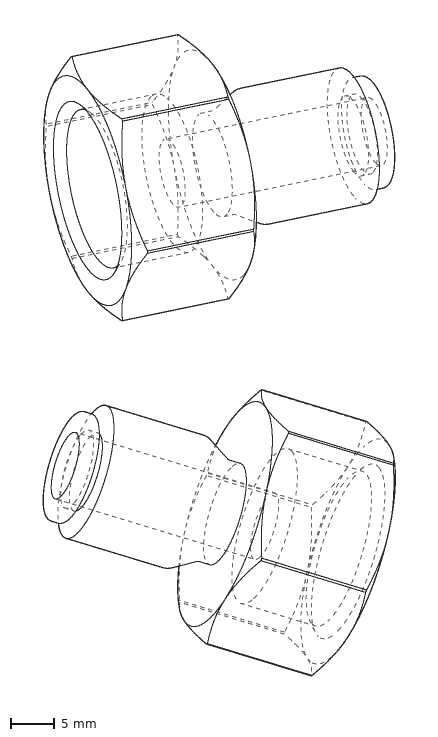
import cadquery as cq
import math

NUT_ACROSS_FLATS = 27.0
NUT_CORNER_DIAMETER = 31.0
HEX_SIDES = 6
NUT_LENGTH = 15.5
NUT_CHAMFER_ANGLE = 30.0

SOCKET_DIAMETER = 18.63
SOCKET_MOUTH_DIAMETER = 20.96
SOCKET_DEPTH = 10.5
TUBE_HOLE_DIAMETER = 8.0

NECK_DIAMETER = 12.2
BODY_DIAMETER = 16.0
BODY_CONE_ANGLE = 30.0
BODY_BLEND_RADIUS = 1.2
NECK_LENGTH = 1.65
BODY_LENGTH = 17.5
BODY_END_Y = NUT_LENGTH + BODY_LENGTH

STEM_DIAMETER = 9.4
RING_DIAMETER = 13.2
RING_THICKNESS = 1.5
RING_EDGE_RADIUS = 0.35
TOTAL_LENGTH = 35.6


def cylinder(diameter, start_y, end_y):
    """Solid cylinder on the Y axis between two Y positions."""
    return (
        cq.Workplane("XZ", origin=(0, start_y, 0))
        .circle(diameter / 2)
        .extrude(start_y - end_y)
    )


def revolve_profile(points):
    """Revolve a closed (radius, y) outline about the Y axis."""
    return cq.Workplane("XY").polyline(points).close().revolve(360, (0, 0), (0, 1))


def make_nut():
    """Hexagon with corners on the X axis, turned and chamfered at both ends."""
    across_corners = NUT_ACROSS_FLATS / math.cos(math.pi / HEX_SIDES)
    face_radius = NUT_ACROSS_FLATS / 2
    corner_radius = NUT_CORNER_DIAMETER / 2
    chamfer_length = (corner_radius - face_radius) * math.tan(math.radians(NUT_CHAMFER_ANGLE))

    hexagon = cq.Workplane("XZ").polygon(HEX_SIDES, across_corners).extrude(-NUT_LENGTH)
    turned_envelope = revolve_profile([
        (0, 0),
        (face_radius, 0),
        (corner_radius, chamfer_length),
        (corner_radius, NUT_LENGTH - chamfer_length),
        (face_radius, NUT_LENGTH),
        (0, NUT_LENGTH),
    ])
    return hexagon.intersect(turned_envelope)


def make_body():
    """Neck, cone and cylinder with both ends of the cone blended."""
    neck_radius = NECK_DIAMETER / 2
    body_radius = BODY_DIAMETER / 2
    cone_length = (body_radius - neck_radius) / math.tan(math.radians(BODY_CONE_ANGLE))
    cone_start_y = NUT_LENGTH + NECK_LENGTH
    cone_end_y = cone_start_y + cone_length

    body = revolve_profile([
        (0, NUT_LENGTH),
        (neck_radius, NUT_LENGTH),
        (neck_radius, cone_start_y),
        (body_radius, cone_end_y),
        (body_radius, BODY_END_Y),
        (0, BODY_END_Y),
    ])
    cone_edges = cq.selectors.BoxSelector(
        (-BODY_DIAMETER, NUT_LENGTH + NECK_LENGTH / 2, -BODY_DIAMETER),
        (BODY_DIAMETER, (cone_end_y + BODY_END_Y) / 2, BODY_DIAMETER),
    )
    return body.edges("%CIRCLE").edges(cone_edges).fillet(BODY_BLEND_RADIUS)


def make_release_ring():
    """Stem leaving the body and the rounded ring at its end."""
    ring_start_y = TOTAL_LENGTH - RING_THICKNESS
    stem = cylinder(STEM_DIAMETER, BODY_END_Y, ring_start_y)
    ring = cylinder(RING_DIAMETER, ring_start_y, TOTAL_LENGTH)
    ring = ring.edges("%CIRCLE").fillet(RING_EDGE_RADIUS)
    return stem.union(ring)


def make_socket():
    """Void of the nut bore with its 45 degree lead-in."""
    mouth_radius = SOCKET_MOUTH_DIAMETER / 2
    bore_radius = SOCKET_DIAMETER / 2
    lead_in = mouth_radius - bore_radius
    return revolve_profile([
        (0, 0),
        (mouth_radius, 0),
        (bore_radius, lead_in),
        (bore_radius, SOCKET_DEPTH),
        (0, SOCKET_DEPTH),
    ])


solid_part = make_nut().union(make_body()).union(make_release_ring())
tube_hole = cylinder(TUBE_HOLE_DIAMETER, 0, TOTAL_LENGTH)
result = solid_part.cut(make_socket()).cut(tube_hole)